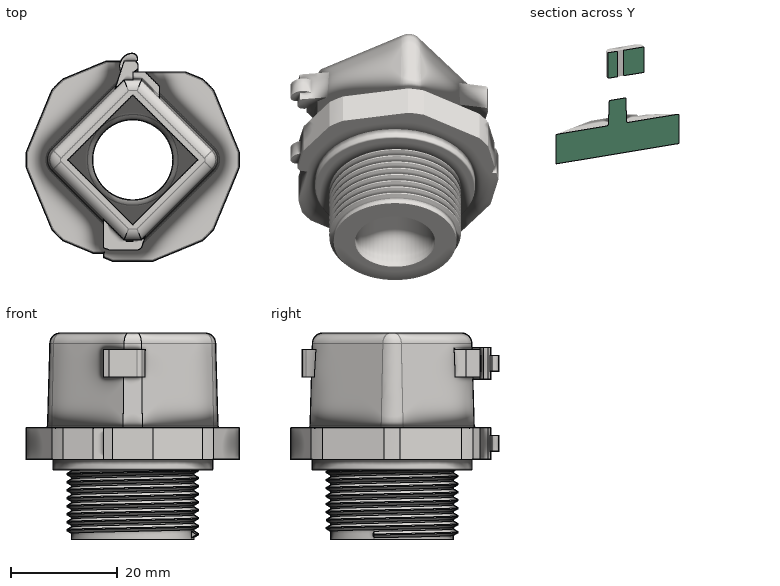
import cadquery as cq
import math

COLLAR_HEIGHT = 2.0
FLANGE_HEIGHT = 6.0
HOUSING_HEIGHT = 17.7
NECK_LENGTH = 13.0
FLANGE_TOP = COLLAR_HEIGHT + FLANGE_HEIGHT
HOUSING_TOP = FLANGE_TOP + HOUSING_HEIGHT
FLANGE_MIDDLE = COLLAR_HEIGHT + FLANGE_HEIGHT / 2

EDGE_RADIUS = 0.25

FLANGE_ACROSS_FLATS = 38.0
FLANGE_TRIM_RADIUS = 20.0
FLANGE_MIN_Y = -19.0
FLANGE_STEP_X = -5.5
FLANGE_STEP_Y = -17.5
OCTAGON_SIDES = 8

COLLAR_RADIUS = 15.0
NECK_RADIUS = 11.5
THREAD_RADIUS = 12.35
THREAD_PITCH = 1.5
THREAD_TURNS = 8.4
THREAD_START_ANGLE = -17.0
THREAD_START_HEIGHT = 0.93
THREAD_CREST_WIDTH = 0.2
THREAD_ROOT_WIDTH = 1.2
THREAD_OVERLAP = 0.2

HOUSING_HALF_WIDTH = 12.17
HOUSING_BLUNT_Y = 15.4
HOUSING_CORNER_RADIUS = 2.9
HOUSING_TOP_RADIUS = 2.0
DRAFT_ANGLE = 1.65

MOUTH_HALF_WIDTH = 8.6
MOUTH_DEPTH = 1.2
BORE_RADIUS = 7.5
BORE_MOUTH_RADIUS = 1.0

LATCH_RISE = 15.0
LATCH_MIDDLE = FLANGE_MIDDLE + LATCH_RISE
INSIDE_HOUSING_Y = 11.0
HOOK_HEIGHT = FLANGE_HEIGHT
CATCH_HEIGHT = 5.2
BEAD_HEIGHT = 3.0
CATCH_TOP = LATCH_MIDDLE + CATCH_HEIGHT / 2

HOOK_END_Y = 18.5
HOOK_NECK_Y = 16.5
HOOK_ROOT_X = -4.1
HOOK_OUTER_X = -1.6
NOSE_X = 1.0
NOSE_CHAMFER = 0.5
NOSE_UNDERSIDE_Y = 17.1
NOSE_UNDERSIDE_X = 0.3
SHOULDER_WIDTH = 5.0
SHOULDER_TOP_WIDTH = 2.3

CATCH_SIDE_X = -5.5
CATCH_END_Y = -16.86
CATCH_BEVEL_X = -4.45
CATCH_BEVEL_Y = -16.45
CATCH_NOSE_X = 1.55
CATCH_NOSE_RADIUS = 1.0
CATCH_ROOT_X = 3.35
CATCH_GAP_X = -1.16
CATCH_GAP_Y = -15.27

BEAD_MIN_X = -2.45
BEAD_TANGENT_Y = 17.4
BEAD_FOOT_Y = 16.4
BEAD_FOOT_X = -2.25
BEAD_TIP = (-0.2, 19.99)
BEAD_RIGHT = (0.9, 18.7)
BEAD_LEFT_MIDPOINT = (-1.75, 19.25)
BEAD_RIGHT_MIDPOINT = (0.7, 19.55)
BEAD_INNER_X = 0.5
BEAD_INNER_Y = 18.2

FAR = 30.0
SELECT_MARGIN = 0.02


def prism(points, bottom, height):
    """Upright prism on a closed polygon."""
    return cq.Workplane("XY").workplane(offset=bottom).polyline(points).close().extrude(height)


def cylinder(radius, bottom, height):
    return cq.Workplane("XY").workplane(offset=bottom).circle(radius).extrude(height)


def diamond(half_width, height_position):
    """Square outline with its corners on the X and Y axes."""
    plane = cq.Workplane("XY").workplane(offset=height_position).transformed(rotate=(0, 0, 45))
    return plane.rect(2 * half_width, 2 * half_width)


def flange():
    corner_diameter = FLANGE_ACROSS_FLATS / math.cos(math.pi / OCTAGON_SIDES)
    octagon = cq.Workplane("XY").workplane(offset=COLLAR_HEIGHT)
    octagon = octagon.polygon(OCTAGON_SIDES, corner_diameter).extrude(FLANGE_HEIGHT)
    body = octagon.intersect(cylinder(FLANGE_TRIM_RADIUS, COLLAR_HEIGHT, FLANGE_HEIGHT))
    beyond_hook = [
        (-FAR, FAR),
        (-FAR, HOOK_END_Y),
        (NOSE_X - NOSE_CHAMFER, HOOK_END_Y),
        (NOSE_X, HOOK_END_Y - NOSE_CHAMFER),
        (NOSE_X, HOOK_NECK_Y),
        (FAR, HOOK_NECK_Y),
        (FAR, FAR),
    ]
    beyond_step = [
        (-FAR, -FAR),
        (-FAR, FLANGE_STEP_Y),
        (FLANGE_STEP_X, FLANGE_STEP_Y),
        (FLANGE_STEP_X, FLANGE_MIN_Y),
        (FAR, FLANGE_MIN_Y),
        (FAR, -FAR),
    ]
    for waste in (beyond_hook, beyond_step):
        body = body.cut(prism(waste, COLLAR_HEIGHT, FLANGE_HEIGHT))
    return body.faces(">Z").edges().fillet(EDGE_RADIUS)


def collar():
    return cylinder(COLLAR_RADIUS, 0, COLLAR_HEIGHT).faces("<Z").edges().fillet(EDGE_RADIUS)


def thread():
    """Right-handed ridge whose upper end is buried in the collar."""
    path = cq.Wire.makeHelix(THREAD_PITCH, THREAD_TURNS * THREAD_PITCH, NECK_RADIUS)
    root_x = NECK_RADIUS - THREAD_OVERLAP
    flank_slope = (THREAD_ROOT_WIDTH - THREAD_CREST_WIDTH) / 2 / (THREAD_RADIUS - NECK_RADIUS)
    root_half = THREAD_ROOT_WIDTH / 2 + THREAD_OVERLAP * flank_slope
    crest_half = THREAD_CREST_WIDTH / 2
    profile = [
        (root_x, -root_half),
        (THREAD_RADIUS, -crest_half),
        (THREAD_RADIUS, crest_half),
        (root_x, root_half),
    ]
    ridge = cq.Workplane("XZ").polyline(profile).close().sweep(path, isFrenet=True)
    ridge = ridge.rotate((0, 0, 0), (0, 0, 1), THREAD_START_ANGLE)
    return ridge.translate((0, 0, THREAD_START_HEIGHT - NECK_LENGTH))


def housing():
    corner = HOUSING_HALF_WIDTH * math.sqrt(2)
    blunt_x = corner - HOUSING_BLUNT_Y
    tangent_y = HOUSING_CORNER_RADIUS * math.sin(math.pi / 4)
    tangent_x = corner - tangent_y
    tip_x = corner - HOUSING_CORNER_RADIUS * (math.sqrt(2) - 1)
    outline = (
        cq.Workplane("XY")
        .workplane(offset=FLANGE_TOP)
        .moveTo(-blunt_x, -HOUSING_BLUNT_Y)
        .lineTo(blunt_x, -HOUSING_BLUNT_Y)
        .lineTo(tangent_x, -tangent_y)
        .threePointArc((tip_x, 0), (tangent_x, tangent_y))
        .lineTo(blunt_x, HOUSING_BLUNT_Y)
        .lineTo(-blunt_x, HOUSING_BLUNT_Y)
        .lineTo(-tangent_x, tangent_y)
        .threePointArc((-tip_x, 0), (-tangent_x, -tangent_y))
        .close()
    )
    body = outline.extrude(HOUSING_HEIGHT, taper=DRAFT_ANGLE)
    return body.faces(">Z").edges().fillet(HOUSING_TOP_RADIUS)


def hook():
    """Hook of the +Y latch, undercut behind its nose."""
    points = [
        (HOOK_ROOT_X, INSIDE_HOUSING_Y),
        (HOOK_OUTER_X, HOOK_END_Y),
        (NOSE_X - NOSE_CHAMFER, HOOK_END_Y),
        (NOSE_X, HOOK_END_Y - NOSE_CHAMFER),
        (NOSE_X, NOSE_UNDERSIDE_Y),
        (NOSE_UNDERSIDE_X, HOOK_NECK_Y),
        (0, HOOK_NECK_Y),
        (0, INSIDE_HOUSING_Y),
    ]
    return prism(points, LATCH_MIDDLE - HOOK_HEIGHT / 2, HOOK_HEIGHT)


def hook_shoulder():
    """Lower block beside the +Y hook, its outer corner cut at 45 degrees."""
    corner_cut = SHOULDER_WIDTH - SHOULDER_TOP_WIDTH
    points = [
        (0, INSIDE_HOUSING_Y),
        (0, HOOK_NECK_Y),
        (SHOULDER_TOP_WIDTH, HOOK_NECK_Y),
        (SHOULDER_WIDTH, HOOK_NECK_Y - corner_cut),
        (SHOULDER_WIDTH, INSIDE_HOUSING_Y),
    ]
    return prism(points, CATCH_TOP - CATCH_HEIGHT, CATCH_HEIGHT)


def catch():
    """Catch of the -Y latch, with a narrow gap to the housing on its -X half."""
    nose = (CATCH_NOSE_X, CATCH_END_Y)
    slant_end_x = CATCH_GAP_X + CATCH_GAP_Y + INSIDE_HOUSING_Y
    points = [
        (CATCH_SIDE_X, -INSIDE_HOUSING_Y),
        (CATCH_SIDE_X, CATCH_BEVEL_Y),
        (CATCH_BEVEL_X, CATCH_END_Y),
        nose,
        (CATCH_ROOT_X, -INSIDE_HOUSING_Y),
        (0, -INSIDE_HOUSING_Y),
        (0, CATCH_GAP_Y),
        (CATCH_GAP_X, CATCH_GAP_Y),
        (slant_end_x, -INSIDE_HOUSING_Y),
    ]
    body = prism(points, CATCH_TOP - CATCH_HEIGHT, CATCH_HEIGHT)
    nose_edge = cq.selectors.NearestToPointSelector((*nose, LATCH_MIDDLE))
    return body.edges("|Z").edges(nose_edge).fillet(CATCH_NOSE_RADIUS)


def bead(middle):
    """Rounded nub on the outer end of a hook."""
    outline = (
        cq.Workplane("XY")
        .workplane(offset=middle - BEAD_HEIGHT / 2)
        .moveTo(BEAD_FOOT_X, BEAD_FOOT_Y)
        .lineTo(BEAD_MIN_X, BEAD_TANGENT_Y)
        .threePointArc(BEAD_LEFT_MIDPOINT, BEAD_TIP)
        .threePointArc(BEAD_RIGHT_MIDPOINT, BEAD_RIGHT)
        .lineTo(BEAD_INNER_X, BEAD_INNER_Y)
        .lineTo(BEAD_INNER_X, BEAD_FOOT_Y)
        .close()
    )
    return outline.extrude(BEAD_HEIGHT)


def cavity():
    """Square mouth that widens downwards, parallel to the housing sides."""
    mouth_floor = HOUSING_TOP - MOUTH_DEPTH
    mouth = diamond(MOUTH_HALF_WIDTH, mouth_floor).extrude(MOUTH_DEPTH)
    depth = mouth_floor - FLANGE_TOP
    floor_half_width = MOUTH_HALF_WIDTH + depth * math.tan(math.radians(DRAFT_ANGLE))
    chamber = diamond(floor_half_width, FLANGE_TOP).extrude(depth, taper=DRAFT_ANGLE)
    return mouth.union(chamber)


def bore():
    """Through bore, flared by a convex quarter round at the cavity floor."""
    rim_radius = BORE_RADIUS + BORE_MOUTH_RADIUS
    inset = BORE_MOUTH_RADIUS * (1 - math.sqrt(0.5))
    profile = (
        cq.Workplane("XZ")
        .moveTo(0, -NECK_LENGTH)
        .lineTo(BORE_RADIUS, -NECK_LENGTH)
        .lineTo(BORE_RADIUS, FLANGE_TOP - BORE_MOUTH_RADIUS)
        .threePointArc((BORE_RADIUS + inset, FLANGE_TOP - inset), (rim_radius, FLANGE_TOP))
        .lineTo(0, FLANGE_TOP)
        .close()
    )
    return profile.revolve(360, (0, 0), (0, 1))


def edges_within(part, low, high):
    """Edges lying wholly inside an upright box."""
    return part.edges(cq.selectors.BoxSelector(low, high, boundingbox=True))


def round_housing_root(part):
    """Fillet where the housing meets the flange."""
    reach = HOUSING_HALF_WIDTH * math.sqrt(2)
    low = (-reach, -HOUSING_BLUNT_Y - SELECT_MARGIN, FLANGE_TOP - SELECT_MARGIN)
    high = (reach, HOUSING_BLUNT_Y + SELECT_MARGIN, FLANGE_TOP + SELECT_MARGIN)
    return edges_within(part, low, high).fillet(EDGE_RADIUS)


def round_shoulder_root(part):
    """Fillet where the top of the +Y shoulder meets the housing."""
    low = (-SELECT_MARGIN, INSIDE_HOUSING_Y, CATCH_TOP - SELECT_MARGIN)
    high = (SHOULDER_WIDTH + SELECT_MARGIN, HOUSING_BLUNT_Y, CATCH_TOP + SELECT_MARGIN)
    return edges_within(part, low, high).edges("not |Y").fillet(EDGE_RADIUS)


part = round_housing_root(flange().union(housing()))
part = round_shoulder_root(part.union(hook_shoulder()))
for feature in (hook(), catch(), bead(LATCH_MIDDLE), bead(FLANGE_MIDDLE)):
    part = part.union(feature)
part = part.union(collar()).union(cylinder(NECK_RADIUS, -NECK_LENGTH, NECK_LENGTH)).union(thread())
result = part.cut(cavity()).cut(bore())